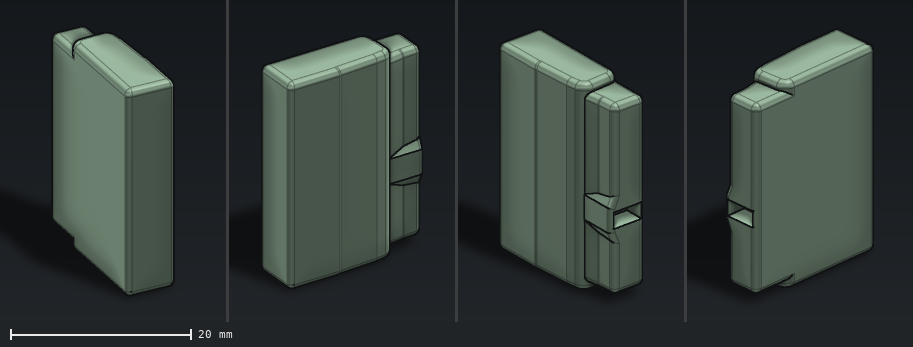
import cadquery as cq
length = 18.6
depth = 6.1
height = 26.0

wall_foot_x = 4.58
wall_head_x = 4.2
wall_head_y = 5.38
steep_end_x = 6.8
steep_end_y = 5.77
gentle_end_x = 11.75
gentle_end_y = 6.03
flat_start_x = 12.0
plan_radius = 1.48
rim_radius = 0.8
right_edge_radius = 0.6

nose_inset = 1.1
nose_back_y = 4.47
nose_bend_x = 2.6
nose_bend_y = 4.63
nose_end_x = 7.8
nose_end_y = 5.49

slot_z = 10.6
rib_top_y = 5.0
rib_top_half_width = 1.55
rib_base_y = 3.12
rib_flank_spread = 2.4
rib_end_x = 5.2
rib_edge_radius = 0.62

slot_width = 2.08
slot_front_y = 0.52
slot_back_y = 4.47
slot_depth = 2.6


def upright_edges_at(solid, points):
    """Vertical edges of the solid standing on the given plan points."""
    edges = cq.Workplane(solid.val())
    tolerance = 0.003
    return edges.newObject([
        edge for edge in solid.edges("|Z").vals()
        if any(
            abs(edge.Center().x - x) < tolerance and abs(edge.Center().y - y) < tolerance
            for x, y in points
        )
    ])


def make_housing():
    rounded_corners = [
        (wall_foot_x, 0),
        (wall_head_x, wall_head_y),
        (steep_end_x, steep_end_y),
    ]
    outline = [
        (wall_foot_x, 0),
        (length, 0),
        (length, depth),
        (flat_start_x, depth),
        (gentle_end_x, gentle_end_y),
        (steep_end_x, steep_end_y),
        (wall_head_x, wall_head_y),
    ]
    housing = cq.Workplane("XY").polyline(outline).close().extrude(height)
    housing = upright_edges_at(housing, rounded_corners).fillet(plan_radius)
    housing = housing.faces("<Z or >Z").edges().fillet(rim_radius)
    return housing.faces(">X").edges().fillet(right_edge_radius)


def make_nose():
    outline = [
        (0, 0),
        (nose_end_x, 0),
        (nose_end_x, nose_end_y),
        (nose_bend_x, nose_bend_y),
        (0, nose_back_y),
    ]
    nose_height = height - 2 * nose_inset
    nose = cq.Workplane("XY").workplane(offset=nose_inset)
    nose = nose.polyline(outline).close().extrude(nose_height)
    nose = upright_edges_at(nose, [(nose_bend_x, nose_bend_y)]).fillet(plan_radius)
    return nose.faces("<X or <Z or >Z").edges("not >X").fillet(rim_radius)


def make_rib():
    base_half_width = rib_top_half_width + rib_flank_spread * (rib_top_y - rib_base_y)
    outline = [
        (rib_base_y, slot_z - base_half_width),
        (rib_top_y, slot_z - rib_top_half_width),
        (rib_top_y, slot_z + rib_top_half_width),
        (rib_base_y, slot_z + base_half_width),
    ]
    rib = cq.Workplane("YZ").polyline(outline).close().extrude(rib_end_x)
    return rib.faces("<X").edges("not <Y").fillet(rib_edge_radius)


def make_slot():
    return cq.Workplane("XY").box(
        slot_depth, slot_back_y - slot_front_y, slot_width, centered=(False, False, True)
    ).translate((0, slot_front_y, slot_z))


result = make_housing().union(make_nose()).union(make_rib()).cut(make_slot())